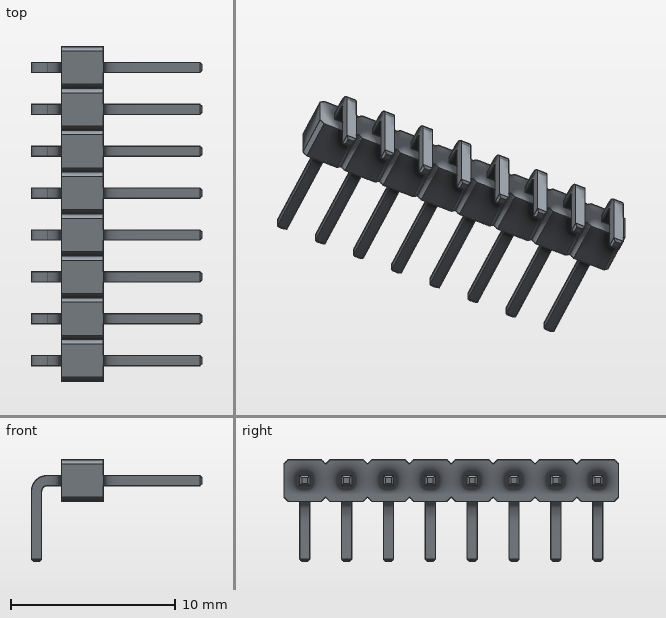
import cadquery as cq


pin_count = 8
pitch = 2.55
housing_width = pitch
housing_height = pitch
corner_chamfer = 0.26

pin_width = 0.63
tip_chamfer = 0.15
mating_length = 6.0
bend_reach = 1.83
tail_drop = 3.64
bend_inner_radius = 0.35
bend_outer_radius = bend_inner_radius + pin_width

mating_tip_x = housing_width / 2 + mating_length
tail_outer_x = -housing_width / 2 - bend_reach
tail_tip_z = -housing_height / 2 - tail_drop


def make_housing_cell(centre_y):
    """One pitch of housing; the chamfers of neighbouring cells form the V notches."""
    return (
        cq.Workplane("XY")
        .box(housing_width, pitch, housing_height)
        .edges("|X")
        .chamfer(corner_chamfer)
        .translate((0, centre_y, 0))
    )


def make_pin(centre_y):
    """Square pin along X, bent down at its -X end, with both tips chamfered."""
    pin = (
        cq.Workplane("XZ")
        .moveTo(mating_tip_x, pin_width / 2)
        .lineTo(tail_outer_x, pin_width / 2)
        .lineTo(tail_outer_x, tail_tip_z)
        .lineTo(tail_outer_x + pin_width, tail_tip_z)
        .lineTo(tail_outer_x + pin_width, -pin_width / 2)
        .lineTo(mating_tip_x, -pin_width / 2)
        .close()
        .extrude(pin_width / 2, both=True)
    )
    outer_corner = cq.selectors.NearestToPointSelector((tail_outer_x, 0, pin_width / 2))
    inner_corner = cq.selectors.NearestToPointSelector((tail_outer_x + pin_width, 0, -pin_width / 2))
    pin = pin.edges("|Y").edges(outer_corner).fillet(bend_outer_radius)
    pin = pin.edges("|Y").edges(inner_corner).fillet(bend_inner_radius)
    pin = pin.faces(">X").chamfer(tip_chamfer)
    pin = pin.faces("<Z").chamfer(tip_chamfer)
    return pin.translate((0, centre_y, 0))


pin_positions = [(i - (pin_count - 1) / 2) * pitch for i in range(pin_count)]

result = make_housing_cell(pin_positions[0])
for y in pin_positions[1:]:
    result = result.union(make_housing_cell(y))

for y in pin_positions:
    result = result.union(make_pin(y))